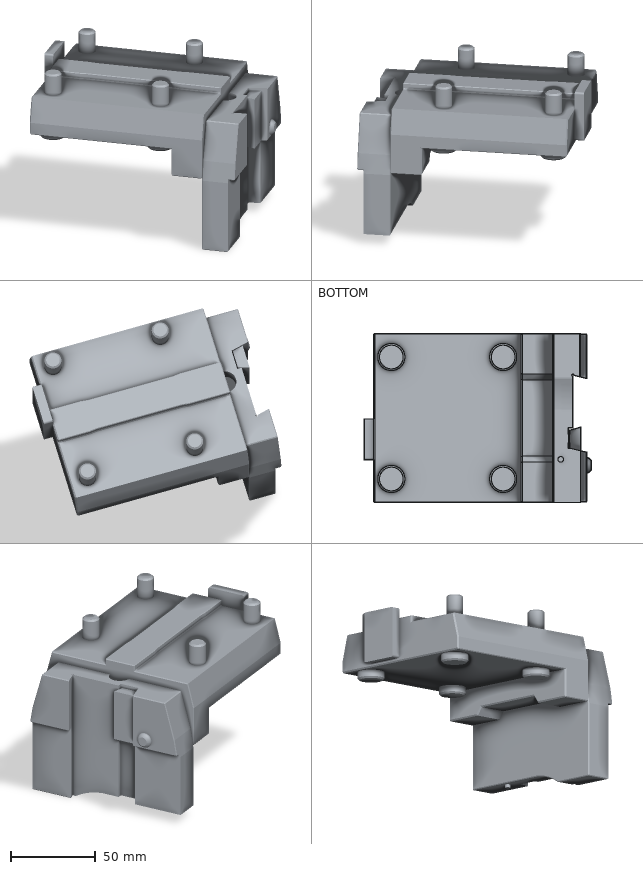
import cadquery as cq
import math

OVERLAP = 0.5

ARM_LENGTH = 106.0
WIDTH = 100.0
HALF_WIDTH = WIDTH / 2
ARM_BOTTOM = -22.5
DECK_HALF_WIDTH = 46.0
ARM_BEVEL_BOTTOM = -15.0
EDGE_CHAMFER = 0.8
SIDE_CHAMFER = 0.5
JOINT_CHAMFER = 0.5

RIB_HEIGHT = 3.7
RIB_HALF_WIDTH = 9.9
RIB_RELIEF = 0.5
RIB_EDGE_CHAMFER = 0.4
RIB_BASE_CHAMFER = 0.6
BASE_CHAMFER_ANGLE = 45
RELIEF_START = 19.6
RELIEF_END = 81.0
RELIEF_RAMP = 4.5

FOOT_START = 87.0
FOOT_BOTTOM = -39.3
ARCH_RISE = 4.6
ARCH_HALF_WIDTH = 26.0
ARCH_RAMP = 3.5

SCREW_X = (10.5, 76.5)
SCREW_Y = 36.0
SHANK_DIAMETER = 10.0
SHANK_TOP = 13.0
SHANK_CHAMFER = 1.0
HEAD_DIAMETER = 16.0
HEAD_BOTTOM = -27.3
HEAD_CHAMFER = 1.0

STOP_THICKNESS = 5.5
STOP_WIDTH = 24.3
STOP_HEIGHT = 30.0
STOP_Y = 12.6
STOP_TOP = 9.5
STOP_CORNER_RADIUS = 1.2

JAW_OUTER_X = 126.0
LEG_OUTER_X = 122.0
HEAD_TOP = -5.5
HEAD_TOP_HALF_WIDTH = 41.5
SHOULDER_HALF_WIDTH = 48.0
SHOULDER_Z = -28.4
LEG_TOP_Z = -40.3
JAW_BOTTOM = -38.5
LEG_BOTTOM = -84.0
LEG_SHORT_BOTTOM = -78.0
SWEEP_START_Y = -5.0
SWEEP_END_Y = -23.2
SWEEP_RADIUS = 37.0

CHANNEL_FLOOR_X = 117.7
FIXED_JAW_MOUTH_Y = -23.2
FIXED_JAW_ROOT_Y = -25.3
CORNER_RELIEF_DIAMETER = 1.2
CLAMP_WALL_MOUTH_Y = 20.2
CLAMP_WALL_ROOT_Y = 17.8
CLAMP_POCKET_X = 115.0
CLAMP_POCKET_Y = 5.8

CLAMP_INNER_X = 115.8
CLAMP_OUTER_X = 122.4
CLAMP_INNER_Y = 7.2
CLAMP_OUTER_Y = 5.3
CLAMP_TOP = -7.5
CLAMP_PIN_DIAMETER = 5.0
CLAMP_PIN_Y = 12.2
CLAMP_PIN_Z = -20.0
BUTTON_DIAMETER = 9.3
BUTTON_TIP_DIAMETER = 5.5
BUTTON_HEIGHT = 2.5
BUTTON_DOME_SHARE = 0.6
BUTTON_Y = 27.9
BUTTON_Z = -32.7

DOWEL_RECESS_DIAMETER = 13.0
DOWEL_RECESS_DEPTH = 10.0
SET_PIN_DIAMETER = 3.3
SET_PIN_LENGTH = 1.8
SET_PIN_X = (ARM_LENGTH + CLAMP_POCKET_X) / 2
SET_PIN_Y = 24.4


def extrude_along_x(outline, start, end):
    """Extrude a (y, z) outline from x = start to x = end."""
    return cq.Workplane("YZ", origin=(start, 0, 0)).polyline(outline).close().extrude(end - start)


def make_rib():
    """Rib with a slightly narrower middle stretch, chamfered at its top and along its base."""
    wide = RIB_HALF_WIDTH
    narrow = RIB_HALF_WIDTH - RIB_RELIEF
    near_side = [
        (0, -wide),
        (RELIEF_START, -wide),
        (RELIEF_START + RELIEF_RAMP, -narrow),
        (RELIEF_END - RELIEF_RAMP, -narrow),
        (RELIEF_END, -wide),
        (ARM_LENGTH, -wide),
    ]
    far_side = [(x, -y) for x, y in reversed(near_side)]
    outline = near_side + far_side
    rib = (
        cq.Workplane("XY", origin=(0, 0, -EDGE_CHAMFER))
        .polyline(outline)
        .close()
        .extrude(RIB_HEIGHT + EDGE_CHAMFER)
    )
    rib = rib.faces("<X").edges("not <Z").chamfer(EDGE_CHAMFER)
    rib = rib.faces(">X").edges("not <Z").chamfer(JOINT_CHAMFER)
    rib = rib.faces(">Z").edges("not (<X or >X)").chamfer(RIB_EDGE_CHAMFER)
    base = (
        cq.Workplane("XY")
        .polyline(outline)
        .close()
        .offset2D(RIB_BASE_CHAMFER, "intersection")
        .extrude(RIB_BASE_CHAMFER, taper=BASE_CHAMFER_ANGLE)
    )
    arm_span = cq.Workplane("XY").box(
        ARM_LENGTH - EDGE_CHAMFER - JOINT_CHAMFER, WIDTH, RIB_HEIGHT, centered=(False, True, False)
    ).translate((EDGE_CHAMFER, 0, 0))
    return rib.union(base.intersect(arm_span))


def make_arm():
    slab = extrude_along_x(
        [
            (-HALF_WIDTH, ARM_BOTTOM),
            (HALF_WIDTH, ARM_BOTTOM),
            (HALF_WIDTH, ARM_BEVEL_BOTTOM),
            (DECK_HALF_WIDTH, 0),
            (-DECK_HALF_WIDTH, 0),
            (-HALF_WIDTH, ARM_BEVEL_BOTTOM),
        ],
        0,
        ARM_LENGTH,
    )
    arch_top = FOOT_BOTTOM + ARCH_RISE
    foot = extrude_along_x(
        [
            (-HALF_WIDTH, ARM_BEVEL_BOTTOM),
            (-HALF_WIDTH, FOOT_BOTTOM),
            (-ARCH_HALF_WIDTH, FOOT_BOTTOM),
            (-ARCH_HALF_WIDTH + ARCH_RAMP, arch_top),
            (ARCH_HALF_WIDTH - ARCH_RAMP, arch_top),
            (ARCH_HALF_WIDTH, FOOT_BOTTOM),
            (HALF_WIDTH, FOOT_BOTTOM),
            (HALF_WIDTH, ARM_BEVEL_BOTTOM),
        ],
        FOOT_START,
        ARM_LENGTH,
    )
    foot = foot.edges("|X").edges("<Y or >Y").edges("<Z").chamfer(SIDE_CHAMFER)
    foot = foot.faces("<X").edges("not >Z").chamfer(EDGE_CHAMFER)
    slab = slab.edges("|X and <Z").chamfer(SIDE_CHAMFER)
    arm = slab.faces("<X").chamfer(EDGE_CHAMFER).union(foot)
    arm = arm.faces(">X").chamfer(JOINT_CHAMFER)
    return arm.union(make_rib())


def make_screw(x, y):
    shank = (
        cq.Workplane("XY", origin=(x, y, ARM_BOTTOM - OVERLAP))
        .circle(SHANK_DIAMETER / 2)
        .extrude(SHANK_TOP - ARM_BOTTOM + OVERLAP)
        .faces(">Z")
        .chamfer(SHANK_CHAMFER)
    )
    head = (
        cq.Workplane("XY", origin=(x, y, HEAD_BOTTOM))
        .circle(HEAD_DIAMETER / 2)
        .extrude(ARM_BOTTOM + OVERLAP - HEAD_BOTTOM)
        .faces("<Z")
        .chamfer(HEAD_CHAMFER)
    )
    return shank.union(head)


def make_stop():
    return (
        cq.Workplane("YZ", origin=(-STOP_THICKNESS, STOP_Y, STOP_TOP - STOP_HEIGHT / 2))
        .rect(STOP_WIDTH, STOP_HEIGHT)
        .extrude(STOP_THICKNESS)
        .edges("|X")
        .fillet(STOP_CORNER_RADIUS)
    )


def sweep_middle():
    """Middle point of the concave-down arc that joins the two leg bottoms."""
    half_run = (SWEEP_END_Y - SWEEP_START_Y) / 2
    half_drop = (LEG_BOTTOM - LEG_SHORT_BOTTOM) / 2
    half_chord = math.hypot(half_run, half_drop)
    bulge = SWEEP_RADIUS - math.sqrt(SWEEP_RADIUS**2 - half_chord**2)
    y = SWEEP_START_Y + half_run + bulge * half_drop / half_chord
    z = LEG_SHORT_BOTTOM + half_drop - bulge * half_run / half_chord
    return y, z


def make_head():
    block = (
        cq.Workplane("YZ", origin=(ARM_LENGTH, 0, 0))
        .moveTo(HEAD_TOP_HALF_WIDTH, HEAD_TOP)
        .lineTo(SHOULDER_HALF_WIDTH, SHOULDER_Z)
        .lineTo(HALF_WIDTH, LEG_TOP_Z)
        .lineTo(HALF_WIDTH, LEG_SHORT_BOTTOM)
        .lineTo(SWEEP_START_Y, LEG_SHORT_BOTTOM)
        .threePointArc(sweep_middle(), (SWEEP_END_Y, LEG_BOTTOM))
        .lineTo(-HALF_WIDTH, LEG_BOTTOM)
        .lineTo(-HALF_WIDTH, LEG_TOP_Z)
        .lineTo(-SHOULDER_HALF_WIDTH, SHOULDER_Z)
        .lineTo(-HEAD_TOP_HALF_WIDTH, HEAD_TOP)
        .close()
        .extrude(JAW_OUTER_X - ARM_LENGTH)
    )
    below_jaws = cq.Workplane("XY").box(
        JAW_OUTER_X - LEG_OUTER_X, WIDTH, JAW_BOTTOM - LEG_BOTTOM, centered=(False, True, False)
    ).translate((LEG_OUTER_X, 0, LEG_BOTTOM))
    head = block.cut(below_jaws)
    head = head.edges("|X").edges(">X").edges("<Y or >Y").chamfer(JOINT_CHAMFER)
    head = head.faces("<X or >X or <Z or >Z").edges().chamfer(JOINT_CHAMFER)
    return head.cut(make_channel()).cut(make_dowel_recess())


def make_channel():
    depth = HEAD_TOP - LEG_BOTTOM
    channel = (
        cq.Workplane("XY", origin=(0, 0, LEG_BOTTOM))
        .polyline(
            [
                (JAW_OUTER_X, FIXED_JAW_MOUTH_Y),
                (CHANNEL_FLOOR_X, FIXED_JAW_ROOT_Y),
                (CHANNEL_FLOOR_X, CLAMP_POCKET_Y),
                (CLAMP_POCKET_X, CLAMP_POCKET_Y),
                (CLAMP_POCKET_X, CLAMP_WALL_ROOT_Y),
                (CLAMP_INNER_X, CLAMP_WALL_ROOT_Y),
                (JAW_OUTER_X, CLAMP_WALL_MOUTH_Y),
            ]
        )
        .close()
        .extrude(depth)
    )
    corner_relief = (
        cq.Workplane("XY", origin=(CHANNEL_FLOOR_X, FIXED_JAW_ROOT_Y, LEG_BOTTOM))
        .circle(CORNER_RELIEF_DIAMETER / 2)
        .extrude(depth)
    )
    return channel.union(corner_relief)


def make_dowel_recess():
    """Half-round recess in the top of the head, centred on the joint."""
    return (
        cq.Workplane("XY", origin=(ARM_LENGTH, 0, HEAD_TOP - DOWEL_RECESS_DEPTH))
        .circle(DOWEL_RECESS_DIAMETER / 2)
        .extrude(DOWEL_RECESS_DEPTH)
    )


def make_clamp():
    wall_slope = (CLAMP_WALL_MOUTH_Y - CLAMP_WALL_ROOT_Y) / (JAW_OUTER_X - CLAMP_INNER_X)
    clamp_corner_y = CLAMP_WALL_ROOT_Y + wall_slope * (CLAMP_OUTER_X - CLAMP_INNER_X)
    wedge = (
        cq.Workplane("XY", origin=(0, 0, JAW_BOTTOM))
        .polyline(
            [
                (CLAMP_INNER_X, CLAMP_INNER_Y),
                (CLAMP_OUTER_X, CLAMP_OUTER_Y),
                (CLAMP_OUTER_X, clamp_corner_y),
                (CLAMP_INNER_X, CLAMP_WALL_ROOT_Y),
            ]
        )
        .close()
        .extrude(CLAMP_TOP - JAW_BOTTOM)
    )
    pin = (
        cq.Workplane("YZ", origin=(CLAMP_POCKET_X - OVERLAP, CLAMP_PIN_Y, CLAMP_PIN_Z))
        .circle(CLAMP_PIN_DIAMETER / 2)
        .extrude(CLAMP_INNER_X - CLAMP_POCKET_X + 2 * OVERLAP)
    )
    return wedge.union(pin)


def make_button():
    """Domed screw head on the outer face of the jaw."""
    base = BUTTON_DIAMETER / 2
    tip = BUTTON_TIP_DIAMETER / 2
    dome_middle = (
        BUTTON_HEIGHT * BUTTON_DOME_SHARE,
        tip + (base - tip) * BUTTON_DOME_SHARE,
    )
    return (
        cq.Workplane("XY")
        .moveTo(-OVERLAP, 0)
        .lineTo(-OVERLAP, base)
        .lineTo(0, base)
        .threePointArc(dome_middle, (BUTTON_HEIGHT, tip))
        .lineTo(BUTTON_HEIGHT, 0)
        .close()
        .revolve(axisStart=(0, 0, 0), axisEnd=(1, 0, 0))
        .translate((JAW_OUTER_X, BUTTON_Y, BUTTON_Z))
    )


def make_set_pin():
    return (
        cq.Workplane("XY", origin=(SET_PIN_X, SET_PIN_Y, LEG_SHORT_BOTTOM - SET_PIN_LENGTH))
        .circle(SET_PIN_DIAMETER / 2)
        .extrude(SET_PIN_LENGTH + OVERLAP)
    )


result = make_arm().union(make_stop()).union(make_head())
for screw_x in SCREW_X:
    for screw_y in (-SCREW_Y, SCREW_Y):
        result = result.union(make_screw(screw_x, screw_y))
result = result.union(make_clamp()).union(make_button()).union(make_set_pin())